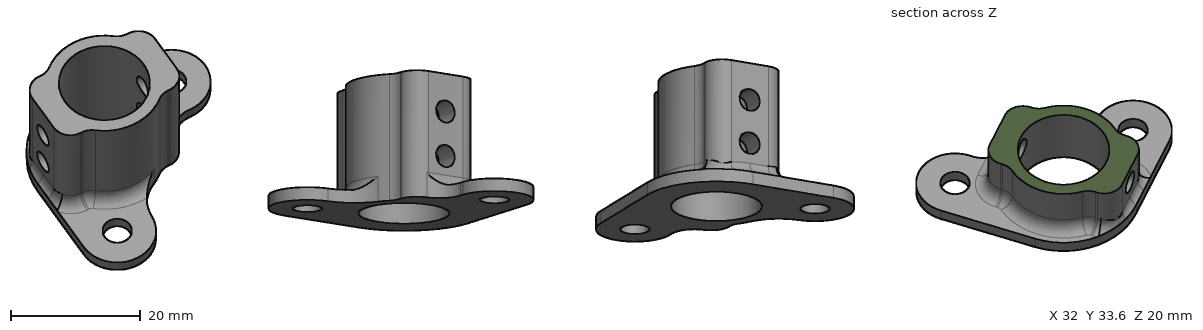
import cadquery as cq
import math

total_height = 20.0
plate_thickness = 2.0
corner_radius = 12.0
lug_radius = corner_radius / 2
lug_hole_diameter = 4.5
side_blend_radius = 8.0
back_blend_radius = 4.0
back_lug = (-lug_radius, 15.6)
side_lug = (13.97, -lug_radius)

bore_diameter = 14.0
tube_radius = 9.0
ear_half_width = 6.2
ear_reach = 11.0
ear_corner_radius = 3.0
ear_blend_radius = 3.0
root_fillet = 1.98
section_steps = 4

pin_diameter = 3.5
pin_heights = (7.0, 14.0)


def point_on_circle(center, radius, angle):
    """Point at an angle, in radians, on a circle."""
    return (center[0] + radius * math.cos(angle), center[1] + radius * math.sin(angle))


def direction(start, end):
    """Angle, in radians, of the line from start to end."""
    return math.atan2(end[1] - start[1], end[0] - start[0])


def make_plate(height):
    """L-shaped plate outline, raised to a height, whose inner edge blends into the socket."""
    axis = (0, 0)

    axis_to_center = tube_radius + side_blend_radius
    lug_to_center = lug_radius + side_blend_radius
    axis_to_lug = math.hypot(*side_lug)
    cosine = (axis_to_center**2 + axis_to_lug**2 - lug_to_center**2) / (2 * axis_to_center * axis_to_lug)
    tube_angle = direction(axis, side_lug) + math.acos(cosine)
    side_center = point_on_circle(axis, axis_to_center, tube_angle)
    lug_angle = direction(side_lug, side_center)
    tube_touch = point_on_circle(axis, tube_radius, tube_angle)
    lug_touch = point_on_circle(side_lug, lug_radius, lug_angle)
    side_middle = point_on_circle(side_center, side_blend_radius, (tube_angle + lug_angle) / 2 + math.pi)

    corner = (ear_half_width - ear_corner_radius, ear_reach - ear_corner_radius)
    corner_to_center = ear_corner_radius + back_blend_radius
    rise = math.sqrt(corner_to_center**2 - (back_blend_radius - corner[0]) ** 2)
    back_center = (back_blend_radius, corner[1] + rise)
    corner_angle = direction(corner, back_center)
    corner_touch = point_on_circle(corner, ear_corner_radius, corner_angle)
    back_middle = point_on_circle(back_center, back_blend_radius, corner_angle / 2 + math.pi)

    return (
        cq.Workplane("XY")
        .moveTo(-corner_radius, 0)
        .threePointArc(point_on_circle(axis, corner_radius, math.radians(225)), (0, -corner_radius))
        .lineTo(side_lug[0], -corner_radius)
        .threePointArc((side_lug[0] + lug_radius, side_lug[1]), lug_touch)
        .threePointArc(side_middle, tube_touch)
        .lineTo(*axis)
        .lineTo(*corner_touch)
        .threePointArc(back_middle, (0, back_center[1]))
        .lineTo(0, back_lug[1])
        .threePointArc((back_lug[0], back_lug[1] + lug_radius), (-corner_radius, back_lug[1]))
        .close()
        .extrude(height)
    )


def make_socket():
    """Solid tube and ears with their upright edges rounded."""
    ears = (
        cq.Workplane("XY")
        .rect(2 * ear_half_width, 2 * ear_reach)
        .extrude(total_height)
        .edges("|Z")
        .fillet(ear_corner_radius)
    )
    socket = ears.union(cq.Workplane("XY").circle(tube_radius).extrude(total_height))
    joint_y = math.sqrt(tube_radius**2 - ear_half_width**2)
    middle = total_height / 2
    for x in (-ear_half_width, ear_half_width):
        for y in (-joint_y, joint_y):
            joint = cq.selectors.NearestToPointSelector((x, y, middle))
            socket = socket.edges("|Z").edges(joint).fillet(ear_blend_radius)
    return socket


def add_root_fillet(body):
    """Blend the foot of the socket into the top of a plate wide enough to carry all of it."""
    margin = 0.05
    foot = cq.selectors.BoxSelector(
        (-tube_radius - margin, -ear_reach - margin, plate_thickness - margin),
        (tube_radius + margin, ear_reach + margin, plate_thickness + margin),
        boundingbox=True,
    )
    return body.edges(foot).fillet(root_fillet)


def blend_relief(contact, angle):
    """Profile of the space above the blend at a point on the front ear, square to its wall.

    The blend follows a ball that touches the wall and rests on the plate's rim.
    """
    ball_x, ball_y = point_on_circle(contact, root_fillet, angle)
    rim_distance = math.hypot(ball_x, ball_y) if ball_x < 0 else -ball_y
    overhang = max(0, rim_distance - corner_radius)
    ball_z = plate_thickness + math.sqrt(root_fillet**2 - overhang**2)
    roof = plate_thickness + 2 * root_fillet
    overlap = 0.67
    diagonal = root_fillet * math.sqrt(0.5)
    outward = (math.cos(angle), math.sin(angle), 0)
    wall = cq.Plane(origin=(*contact, 0), xDir=outward, normal=(outward[1], -outward[0], 0))
    return (
        cq.Workplane(wall)
        .moveTo(-overlap, ball_z)
        .lineTo(0, ball_z)
        .threePointArc((root_fillet - diagonal, ball_z - diagonal), (root_fillet, ball_z - root_fillet))
        .lineTo(root_fillet, roof)
        .lineTo(-overlap, roof)
        .close()
        .val()
    )


def relieve_front(body):
    """Lower the blend around the front ear, where the plate is too narrow for all of it."""
    flat = ear_half_width - ear_corner_radius
    corner_y = -ear_reach + ear_corner_radius
    foot_radius = ear_corner_radius + root_fillet
    front = -math.pi / 2

    clearance = 0.03
    center_distance = math.hypot(flat, corner_y)
    cosine = (corner_radius**2 - center_distance**2 - foot_radius**2) / (2 * center_distance * foot_radius)
    left_start = math.atan2(corner_y, -flat) - math.acos(cosine) + clearance
    right_end = -math.asin((corner_radius + corner_y) / foot_radius) - clearance

    def corner_sections(center_x, start, end):
        center = (center_x, corner_y)
        angles = [start + (end - start) * i / section_steps for i in range(section_steps + 1)]
        return [blend_relief(point_on_circle(center, ear_corner_radius, angle), angle) for angle in angles]

    def flat_sections(start, end):
        places = [start + (end - start) * i / section_steps for i in range(section_steps + 1)]
        return [blend_relief((x, -ear_reach), front) for x in places]

    stretches = (
        corner_sections(-flat, left_start, front),
        flat_sections(-flat, 0),
        flat_sections(0, flat),
        corner_sections(flat, front, right_end),
    )
    for sections in stretches:
        body = body.cut(cq.Workplane(cq.Solid.makeLoft(sections)))
    return body


socket = make_socket()
oversized_plate = cq.Workplane("XY").circle(2 * corner_radius).extrude(plate_thickness)
rounded = add_root_fillet(oversized_plate.union(socket))
trimmed = rounded.intersect(make_plate(plate_thickness + root_fillet))
result = relieve_front(trimmed).union(socket)

result = result.cut(cq.Workplane("XY").circle(bore_diameter / 2).extrude(total_height))

lug_holes = cq.Workplane("XY").pushPoints([back_lug, side_lug]).circle(lug_hole_diameter / 2)
result = result.cut(lug_holes.extrude(plate_thickness))

pin_points = [(0, height) for height in pin_heights]
pin_holes = cq.Workplane("XZ").pushPoints(pin_points).circle(pin_diameter / 2)
result = result.cut(pin_holes.extrude(ear_reach, both=True))